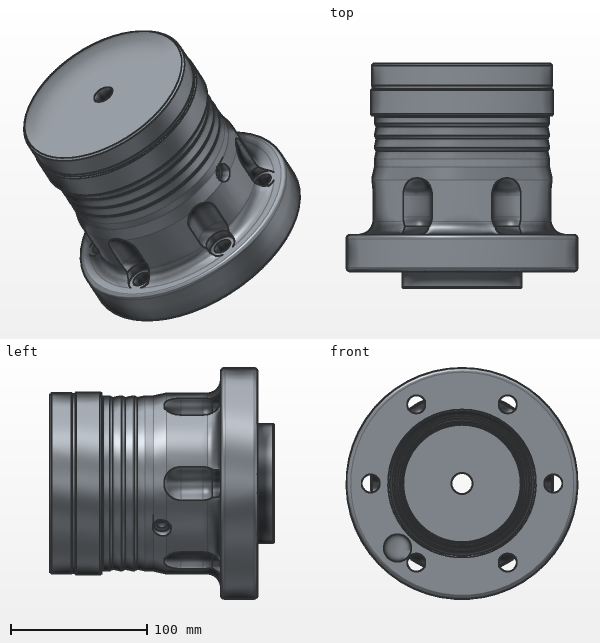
import cadquery as cq
import math


flange_radius = 85.0
flange_thickness = 27.2
flange_edge_fillet = 3.0

body_radius = 66.3
body_fillet = 9.9
body_rear_y = 67.3
neck_radius = 64.1
neck_front_y = 76.8
neck_rear_y = 113.4
neck_rear_chamfer = 0.7

groove_count = 3
groove_pitch = 9.0
groove_depth = 1.2
first_groove_front_y = 82.8
groove_ramp_length = 5.6
groove_return_length = 2.4

collar_front_y = 114.5
collar_rear_y = 134.1
collar_radius = 67.2
collar_chamfer = 0.8
collar_front_chamfer = 1.4
cap_front_y = 136.3
cap_rear_y = 152.8
cap_radius = 66.5
cap_front_chamfer = 0.5
cap_rear_chamfer = 1.5

shaft_radius = 44.0
shaft_projection = 12.2
shaft_chamfer = 1.0
shaft_hole_diameter = 15.3

opening_radius = 53.0
opening_chamfer = 1.4
seal_outer_radius = 51.0
seal_front_y = 17.0
seal_seat_depth = 0.5
seal_groove_outer_radius = 49.6
seal_groove_inner_radius = 47.8
seal_groove_depth = 1.7
seal_groove_wall_taper = 0.3
seal_outer_lip_rise = 0.25
seal_lip_outer_radius = 45.9
seal_lip_rise = 0.5
seal_inner_radius = 44.5
seal_inner_taper_length = 3.0
opening_depth = 23.8

bolt_count = 6
bolt_circle_radius = 67.0
bolt_hole_diameter = 13.3
spot_face_radius = 10.2
pocket_radius = 12.4
pocket_front_y = 40.3
pocket_rear_y = 56.5

blind_hole_angle = 225.0
blind_hole_diameter = 20.2
blind_hole_depth = 7.0

port_angle = 210.0
port_y = 70.4
port_mouth_diameter = 13.5
port_mouth_floor_radius = 58.5
port_hole_diameter = 7.8
port_hole_floor_radius = 51.0

cut_clearance = 1.7


def revolve_about_y(sketch):
    """Turn a closed (z, y) half section through a full circle about the Y axis."""
    return sketch.close().revolve(360, (0, 0, 0), (0, 1, 0))


def half_section():
    """Workplane whose local x is the radius (+Z) and local y is the part's Y axis."""
    return cq.Workplane(cq.Plane(origin=(0, 0, 0), xDir=(0, 0, 1), normal=(-1, 0, 0)))


def axial_cylinder(diameter, start_y, length, angle=0.0, distance=0.0):
    """Cylinder along +Y, placed at a polar position about the main axis."""
    x = distance * math.cos(math.radians(angle))
    z = distance * math.sin(math.radians(angle))
    base = cq.Vector(x, start_y, z)
    return cq.Workplane(cq.Solid.makeCylinder(diameter / 2, length, base, cq.Vector(0, 1, 0)))


def outer_body():
    fillet_end_radius = body_radius + body_fillet
    fillet_end_y = flange_thickness + body_fillet
    arc_inset = body_fillet * math.sqrt(0.5)
    fillet_middle = (fillet_end_radius - arc_inset, fillet_end_y - arc_inset)
    edge_inset = flange_edge_fillet * (1 - math.sqrt(0.5))

    outline = (
        half_section()
        .moveTo(0, 0)
        .lineTo(flange_radius - flange_edge_fillet, 0)
        .threePointArc(
            (flange_radius - edge_inset, edge_inset),
            (flange_radius, flange_edge_fillet),
        )
        .lineTo(flange_radius, flange_thickness - flange_edge_fillet)
        .threePointArc(
            (flange_radius - edge_inset, flange_thickness - edge_inset),
            (flange_radius - flange_edge_fillet, flange_thickness),
        )
        .lineTo(fillet_end_radius, flange_thickness)
        .threePointArc(fillet_middle, (body_radius, fillet_end_y))
        .lineTo(body_radius, body_rear_y)
        .lineTo(neck_radius, neck_front_y)
    )

    for index in range(groove_count):
        groove_y = first_groove_front_y + index * groove_pitch
        valley_y = groove_y + groove_ramp_length
        outline = (
            outline
            .lineTo(neck_radius, groove_y)
            .lineTo(neck_radius - groove_depth, valley_y)
            .lineTo(neck_radius, valley_y + groove_return_length)
        )

    cap_groove_radius = cap_radius - cap_front_chamfer
    outline = (
        outline
        .lineTo(neck_radius, neck_rear_y)
        .lineTo(neck_radius - neck_rear_chamfer, collar_front_y)
        .lineTo(collar_radius - collar_chamfer, collar_front_y)
        .lineTo(collar_radius, collar_front_y + collar_front_chamfer)
        .lineTo(collar_radius, collar_rear_y - collar_chamfer)
        .lineTo(cap_groove_radius, collar_rear_y)
        .lineTo(cap_groove_radius, cap_front_y)
        .lineTo(cap_radius, cap_front_y + cap_front_chamfer)
        .lineTo(cap_radius, cap_rear_y - cap_rear_chamfer)
        .lineTo(cap_radius - cap_rear_chamfer, cap_rear_y)
        .lineTo(0, cap_rear_y)
    )
    return revolve_about_y(outline)


def annular_opening():
    """Ring-shaped space between the flange bore and the shaft, down to the shaft's root."""
    groove_floor_y = seal_front_y + seal_groove_depth
    outline = (
        half_section()
        .moveTo(0, -cut_clearance)
        .lineTo(opening_radius + opening_chamfer, -cut_clearance)
        .lineTo(opening_radius + opening_chamfer, 0)
        .lineTo(opening_radius, opening_chamfer)
        .lineTo(opening_radius, seal_front_y - seal_seat_depth)
        .lineTo(seal_outer_radius, seal_front_y)
        .lineTo(seal_groove_outer_radius, seal_front_y - seal_outer_lip_rise)
        .lineTo(seal_groove_outer_radius - seal_groove_wall_taper, groove_floor_y)
        .lineTo(seal_groove_inner_radius, groove_floor_y)
        .lineTo(seal_groove_inner_radius - seal_groove_wall_taper, seal_front_y)
        .lineTo(seal_lip_outer_radius, seal_front_y - seal_lip_rise)
        .lineTo(seal_inner_radius, seal_front_y + seal_inner_taper_length)
        .lineTo(seal_inner_radius, opening_depth)
        .lineTo(0, opening_depth)
    )
    return revolve_about_y(outline)


def shaft():
    length = shaft_projection + opening_depth + cut_clearance
    return axial_cylinder(2 * shaft_radius, -shaft_projection, length).faces("<Y").chamfer(shaft_chamfer)


def bolt_cutter(angle):
    """Through hole, spot face and the ball-ended pocket that clears the bolt head."""
    x = bolt_circle_radius * math.cos(math.radians(angle))
    z = bolt_circle_radius * math.sin(math.radians(angle))

    def at_bolt(diameter, start_y, end_y):
        return axial_cylinder(diameter, start_y, end_y - start_y, angle, bolt_circle_radius)

    def ball_end(y):
        return cq.Workplane("XY").sphere(pocket_radius).translate((x, y, z))

    hole = at_bolt(bolt_hole_diameter, -cut_clearance, pocket_front_y)
    spot_face = at_bolt(2 * spot_face_radius, flange_thickness, pocket_front_y)
    pocket = at_bolt(2 * pocket_radius, pocket_front_y, pocket_rear_y)
    front_ball = ball_end(pocket_front_y)
    rear_ball = ball_end(pocket_rear_y)
    return hole.union(spot_face).union(pocket).union(front_ball).union(rear_ball)


def side_port():
    outward = cq.Vector(math.cos(math.radians(port_angle)), 0, math.sin(math.radians(port_angle)))

    def radial_cylinder(diameter, floor_radius):
        length = flange_radius - floor_radius
        base = outward * floor_radius + cq.Vector(0, port_y, 0)
        return cq.Workplane(cq.Solid.makeCylinder(diameter / 2, length, base, outward))

    mouth = radial_cylinder(port_mouth_diameter, port_mouth_floor_radius)
    hole = radial_cylinder(port_hole_diameter, port_hole_floor_radius)
    return mouth.union(hole)


def blind_hole():
    length = blind_hole_depth + cut_clearance
    return axial_cylinder(blind_hole_diameter, -cut_clearance, length, blind_hole_angle, bolt_circle_radius)


def shaft_hole():
    start_y = -shaft_projection - cut_clearance
    return axial_cylinder(shaft_hole_diameter, start_y, cap_rear_y + cut_clearance - start_y)


result = outer_body().cut(annular_opening()).union(shaft())
for bolt in range(bolt_count):
    result = result.cut(bolt_cutter(bolt * 360 / bolt_count))
result = result.cut(blind_hole()).cut(side_port()).cut(shaft_hole())